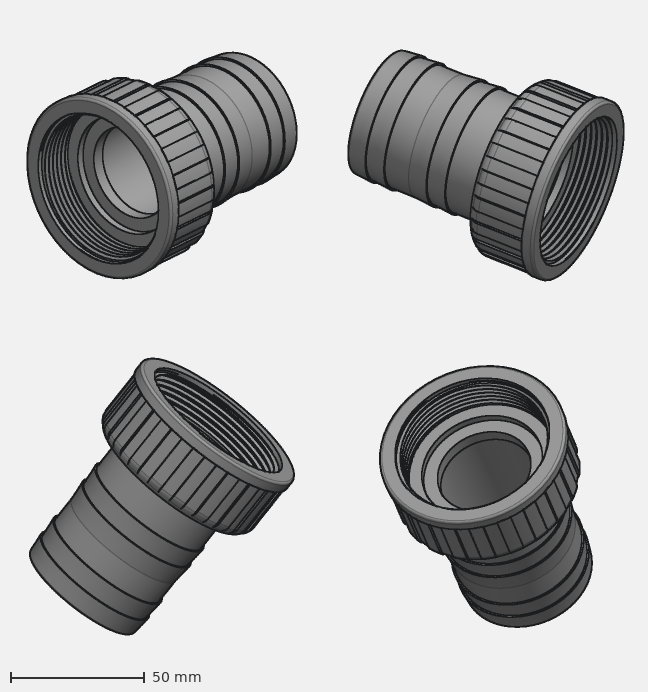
import cadquery as cq


flange_diameter = 71.8
flange_length = 4.8
flange_fillet = 1.0
flange_back_fillet = 0.4
nut_length = 28.9
nut_radius = 34.4
nut_fillet = 4.0
back_hole_diameter = 52.0
rib_count = 20
rib_width = 5.5
rib_height = 0.9
rib_setback = 1.0

thread_minor_diameter = 56.6
thread_major_diameter = 59.61
thread_pitch = 2.309
thread_crest_width = 0.3
thread_mouth_depth = 2.0
cutter_overlap = 0.1

gasket_front = 15.1
gasket_thickness = 3.0
gasket_bore_diameter = 46.6
gasket_diameter = thread_minor_diameter

tail_front = gasket_front + gasket_thickness
tail_end = 85.0
tail_flange_diameter = 55.9
tail_flange_length = 5.0
tail_flange_bore_diameter = 36.0
collar_diameter = 51.5
hose_diameter = 49.5
hose_bore_diameter = 42.0
tail_end_fillet = 0.75
barb_diameter = 51.0
barb_length = 8.0
barb_start_positions = [85.0, 77.0, 59.0, 51.0]

tail_flange_back = tail_front + tail_flange_length


def revolve_about_y(profile):
    """Turn a closed (radius, y) profile into a solid about the Y axis."""
    return profile.close().revolve(360, (0, 0, 0), (0, 1, 0))


def tube(outer_diameter, inner_diameter, start, end):
    """Plain ring about Y between two positions."""
    profile = (
        cq.Workplane("XY")
        .moveTo(inner_diameter / 2, start)
        .lineTo(outer_diameter / 2, start)
        .lineTo(outer_diameter / 2, end)
        .lineTo(inner_diameter / 2, end)
    )
    return revolve_about_y(profile)


def rounded_barrel(radius, start, end):
    """Solid cylinder about Y with its far edge rounded."""
    profile = (
        cq.Workplane("XY")
        .moveTo(0, start)
        .lineTo(radius, start)
        .lineTo(radius, end - nut_fillet)
        .radiusArc((radius - nut_fillet, end), -nut_fillet)
        .lineTo(0, end)
    )
    return revolve_about_y(profile)


def make_grip_ribs():
    """Raised bars around the nut, rounded at the back like the nut itself."""
    rib_back = nut_length - rib_setback
    rib_length = rib_back - flange_length
    rib_depth = rib_height + nut_fillet
    rib_outer_radius = nut_radius + rib_height
    envelope = rounded_barrel(rib_outer_radius, flange_length, rib_back)
    rib = (
        cq.Workplane("XY")
        .box(rib_width, rib_length, rib_depth)
        .translate((0, flange_length + rib_length / 2, rib_outer_radius - rib_depth / 2))
        .intersect(envelope)
    )
    return [rib.rotate((0, 0, 0), (0, 1, 0), index * 360 / rib_count) for index in range(rib_count)]


def make_thread_cutter():
    """Helical V groove, centred on +X at the shoulder behind the mouth."""
    minor_radius = thread_minor_diameter / 2
    major_radius = thread_major_diameter / 2
    half_width = (thread_pitch - thread_crest_width) / 2
    flank_slope = half_width / (major_radius - minor_radius)
    base_half_width = half_width + flank_slope * cutter_overlap
    start = thread_mouth_depth - thread_pitch
    length = gasket_front - start
    helix = cq.Wire.makeHelix(thread_pitch, length, minor_radius)
    groove = (
        cq.Workplane("XZ")
        .moveTo(minor_radius - cutter_overlap, -base_half_width)
        .lineTo(major_radius, 0)
        .lineTo(minor_radius - cutter_overlap, base_half_width)
        .close()
        .sweep(cq.Workplane(obj=helix), isFrenet=True)
    )
    return groove.rotate((0, 0, 0), (1, 0, 0), -90).translate((0, start, 0))


def make_nut():
    """Flanged, ribbed nut with a threaded bore and a hole at the back for the tail."""
    flange = (
        cq.Workplane("XZ")
        .circle(flange_diameter / 2)
        .extrude(-flange_length)
        .faces("<Y")
        .edges()
        .fillet(flange_fillet)
        .faces(">Y")
        .edges()
        .fillet(flange_back_fillet)
    )
    body = rounded_barrel(nut_radius, flange_length / 2, nut_length)
    bore = tube(thread_minor_diameter, 0, 0, tail_flange_back)
    mouth = tube(thread_major_diameter, 0, 0, thread_mouth_depth)
    back_hole = tube(back_hole_diameter, 0, 0, nut_length)
    nut = flange.union(body).cut(bore).cut(mouth).cut(back_hole).cut(make_thread_cutter())
    ribs = [rib.val() for rib in make_grip_ribs()]
    return cq.Workplane(obj=nut.val().fuse(*ribs))


def make_gasket():
    """Flat ring seated on the front of the tail flange."""
    return tube(gasket_diameter, gasket_bore_diameter, gasket_front, tail_front)


def make_barb(start):
    """Cone that grows from the hose diameter towards the nut."""
    profile = (
        cq.Workplane("XY")
        .moveTo(hose_bore_diameter / 2, start)
        .lineTo(hose_diameter / 2, start)
        .lineTo(barb_diameter / 2, start - barb_length)
        .lineTo(hose_bore_diameter / 2, start - barb_length)
    )
    return revolve_about_y(profile)


def make_tail():
    """Flanged hose tail with a collar inside the nut and barbs along the spigot."""
    tail = tube(tail_flange_diameter, tail_flange_bore_diameter, tail_front, tail_flange_back)
    collar = tube(collar_diameter, hose_bore_diameter, tail_flange_back, nut_length)
    hose_spigot = tube(hose_diameter, hose_bore_diameter, tail_flange_back, tail_end)
    tail = tail.union(collar).union(hose_spigot)
    for start in barb_start_positions:
        tail = tail.union(make_barb(start))
    outer_end_edge = cq.selectors.RadiusNthSelector(-1)
    return tail.faces(">Y").edges(outer_end_edge).fillet(tail_end_fillet)


nut = make_nut()
gasket = make_gasket()
tail = make_tail()

result = cq.Compound.makeCompound([nut.solids().val(), gasket.solids().val(), tail.solids().val()])